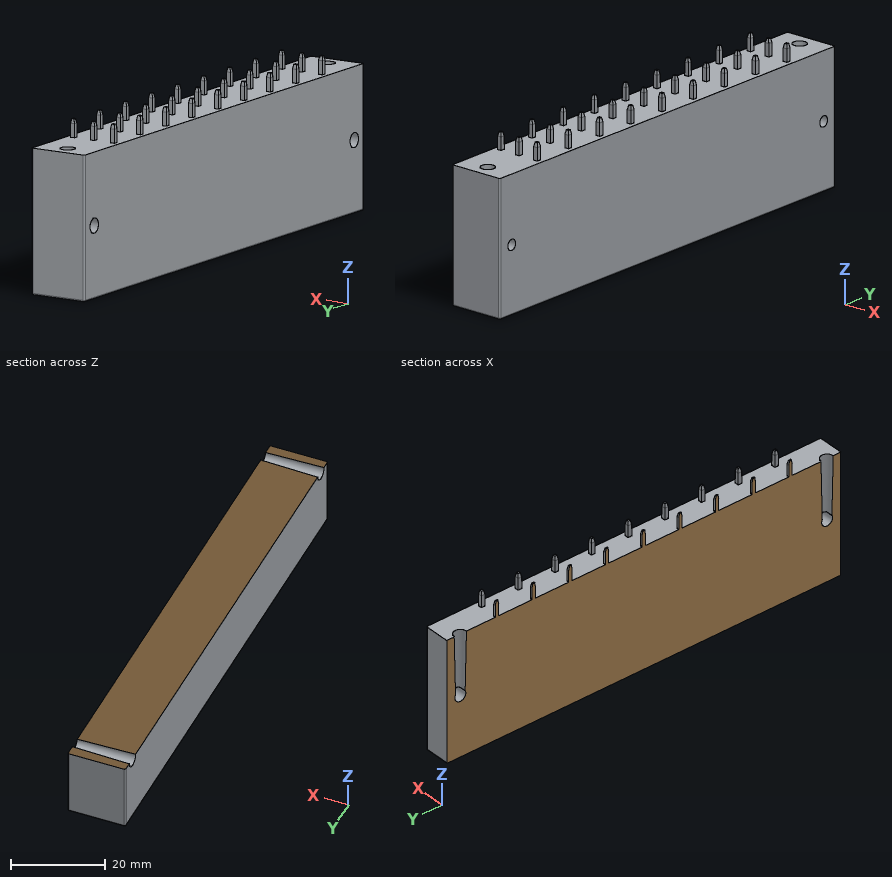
import cadquery as cq

WIDTH = 13.4
LENGTH = 109.2
TOTAL_HEIGHT = 36.0
PIN_HEIGHT = 4.0
BLOCK_HEIGHT = TOTAL_HEIGHT - PIN_HEIGHT
EDGE_RADIUS = 0.4

PIN_SIDE = 1.04
TIP_HEIGHT = 1.0
TIP_INSET = 0.2
PIN_ROWS = 9
PIN_COLUMNS = 3
ROW_PITCH = 10.2
COLUMN_PITCH = ROW_PITCH / 2

HOLE_MOUTH_DIAMETER = 3.3
HOLE_END_DIAMETER = 2.5
HOLE_SPACING = (PIN_ROWS + 1) * ROW_PITCH
CROSS_HOLE_HEIGHT = BLOCK_HEIGHT / 2


def make_block():
    """Block with every edge rounded except those around the top face."""
    return (
        cq.Workplane("XY")
        .box(WIDTH, LENGTH, BLOCK_HEIGHT, centered=(True, True, False))
        .edges("|Z or <Z")
        .fillet(EDGE_RADIUS)
    )


def make_pins():
    return (
        cq.Workplane("XY", origin=(0, 0, BLOCK_HEIGHT))
        .rarray(COLUMN_PITCH, ROW_PITCH, PIN_COLUMNS, PIN_ROWS)
        .rect(PIN_SIDE, PIN_SIDE)
        .extrude(PIN_HEIGHT)
        .faces(">Z")
        .chamfer(TIP_HEIGHT, TIP_INSET)
    )


def make_tapered_hole(mouth, direction, depth):
    """Cone frustum narrowing from the mouth point along the direction."""
    return cq.Solid.makeCone(
        HOLE_MOUTH_DIAMETER / 2,
        HOLE_END_DIAMETER / 2,
        depth,
        pnt=cq.Vector(*mouth),
        dir=cq.Vector(*direction),
    )


def cut_mounting_hole(block, y):
    """Cross hole through the width, met at its axis by a hole from the top face."""
    cross_hole = make_tapered_hole((-WIDTH / 2, y, CROSS_HOLE_HEIGHT), (1, 0, 0), WIDTH)
    top_depth = BLOCK_HEIGHT - CROSS_HOLE_HEIGHT
    top_hole = make_tapered_hole((0, y, BLOCK_HEIGHT), (0, 0, -1), top_depth)
    return block.cut(cq.Workplane(cross_hole)).cut(cq.Workplane(top_hole))


result = make_block()
for hole_y in (-HOLE_SPACING / 2, HOLE_SPACING / 2):
    result = cut_mounting_hole(result, hole_y)
result = result.union(make_pins())